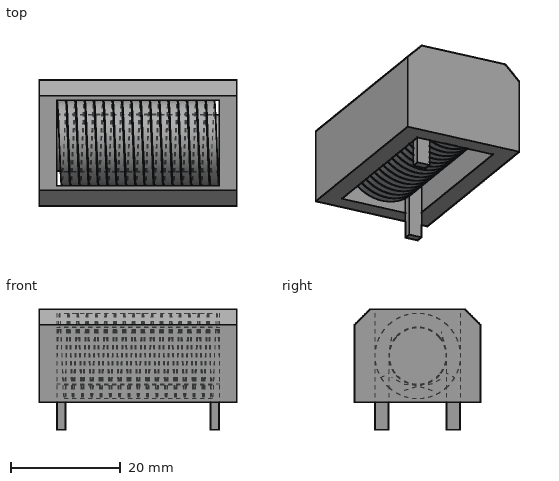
import cadquery as cq

housing_length = 36.0
housing_width = 23.0
housing_height = 17.0
chamfer_size = 2.9

core_diameter = 10.3
core_clearance = 0.125
wire_width = 1.55
wire_thickness = 2.5
turns = 16.5
coil_length = 29.5
axis_height = housing_height / 2
lead_length = 5.0

core_radius = core_diameter / 2
wire_radius = core_radius + core_clearance + wire_thickness / 2
coil_diameter = 2 * wire_radius + wire_thickness
first_turn_x = -(coil_length - wire_width) / 2
winding_travel = coil_length - wire_width
pitch = winding_travel / turns

space_diagonal = (1, 1, 1)
third_of_turn = 120


def make_housing():
    """Block with chamfered long top edges and a window that just fits the coil."""
    block = (
        cq.Workplane("XY")
        .box(housing_length, housing_width, housing_height, centered=(True, True, False))
        .edges("|X and >Z")
        .chamfer(chamfer_size)
    )
    return block.faces(">Z").workplane().rect(coil_length, coil_diameter).cutThruAll()


def make_core():
    """Round rod that spans the window from wall to wall."""
    return (
        cq.Workplane("YZ", origin=(-coil_length / 2, 0, axis_height))
        .circle(core_radius)
        .extrude(coil_length)
    )


def make_winding():
    """Helix of flat wire that starts on the +Y side and climbs over the top."""
    helix = cq.Wire.makeHelix(pitch, winding_travel, wire_radius)
    winding = (
        cq.Workplane("XZ", origin=(wire_radius, 0, 0))
        .rect(wire_thickness, wire_width)
        .sweep(cq.Workplane(obj=helix), isFrenet=True)
    )
    lying_winding = winding.rotate((0, 0, 0), space_diagonal, third_of_turn)
    return lying_winding.translate((first_turn_x, 0, axis_height))


def make_lead(side):
    """Straight wire end, from the coil axis height down through the open base.

    Side 1 is the lead at -X and +Y, side -1 the one at +X and -Y.
    """
    lead = cq.Workplane("XY").box(
        wire_width, wire_thickness, axis_height + lead_length, centered=(True, True, False)
    )
    return lead.translate((side * first_turn_x, side * wire_radius, -lead_length))


def make_coil():
    """Winding with one lead at each end, as a single body."""
    coil = make_winding()
    for side in (1, -1):
        coil = coil.union(make_lead(side))
    return coil


housing = make_housing().solids()
core = make_core()
coil = make_coil().solids()

result = cq.Compound.makeCompound([housing.val(), core.val(), coil.val()])